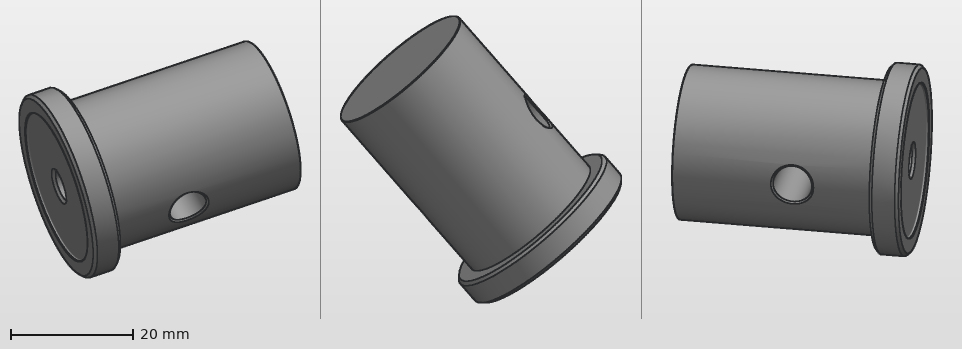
import cadquery as cq
import math

total_length = 38.1
shank_radius = 12.75
flange_radius = 15.75
flange_thickness = 4.85
flange_chamfer = 0.53
shank_end_chamfer = 0.12

recess_radius = 12.7
recess_depth = 0.5
recess_chamfer = 0.13
recess_floor_fillet = 0.17

cross_hole_radius = 3.22
cross_hole_from_back = 20.0
cross_hole_chamfer = 0.33
cross_hole_y = total_length - cross_hole_from_back

axial_hole_radius = 2.54
axial_hole_chamfer = 0.5
drill_point_angle = math.radians(118)
breakthrough_radius = 1.63
drill_slope = math.tan(drill_point_angle / 2)
breakthrough_y = cross_hole_y - cross_hole_radius
axial_hole_bottom_y = breakthrough_y - (axial_hole_radius - breakthrough_radius) / drill_slope
drill_tip_y = axial_hole_bottom_y + axial_hole_radius / drill_slope


def revolve_about_y(points):
    """Revolve a (radius, y) outline about the Y axis."""
    return cq.Workplane("XY").polyline(points).close().revolve(360, (0, 0, 0), (0, 1, 0))


def make_flanged_shank():
    return revolve_about_y([
        (0, 0),
        (flange_radius - flange_chamfer, 0),
        (flange_radius, flange_chamfer),
        (flange_radius, flange_thickness - flange_chamfer),
        (flange_radius - flange_chamfer, flange_thickness),
        (shank_radius, flange_thickness),
        (shank_radius, total_length - shank_end_chamfer),
        (shank_radius - shank_end_chamfer, total_length),
        (0, total_length),
    ])


def make_recess():
    """Volume of the recess: chamfered at the mouth, filleted around the floor."""
    recess = revolve_about_y([
        (0, 0),
        (recess_radius + recess_chamfer, 0),
        (recess_radius, recess_chamfer),
        (recess_radius, recess_depth),
        (0, recess_depth),
    ])
    return recess.faces(">Y").edges().fillet(recess_floor_fillet)


def cut_chamfered_cross_hole(body):
    """Cut the hole along X and chamfer its mouth on both sides of the shank."""
    hole = (
        cq.Workplane("YZ", origin=(0, cross_hole_y, 0))
        .circle(cross_hole_radius)
        .extrude(flange_radius, both=True)
    )
    mouth_zone = cq.selectors.BoxSelector(
        (-flange_radius, cross_hole_y - cross_hole_radius, -cross_hole_radius),
        (flange_radius, cross_hole_y + cross_hole_radius, cross_hole_radius),
    )
    mouths = body.cut(hole).edges(mouth_zone).edges("not %LINE")
    return mouths.chamfer(cross_hole_chamfer)


def make_axial_hole():
    return revolve_about_y([
        (0, recess_depth),
        (axial_hole_radius + axial_hole_chamfer, recess_depth),
        (axial_hole_radius, recess_depth + axial_hole_chamfer),
        (axial_hole_radius, axial_hole_bottom_y),
        (0, drill_tip_y),
    ])


shank = cut_chamfered_cross_hole(make_flanged_shank())
result = shank.cut(make_recess()).cut(make_axial_hole())